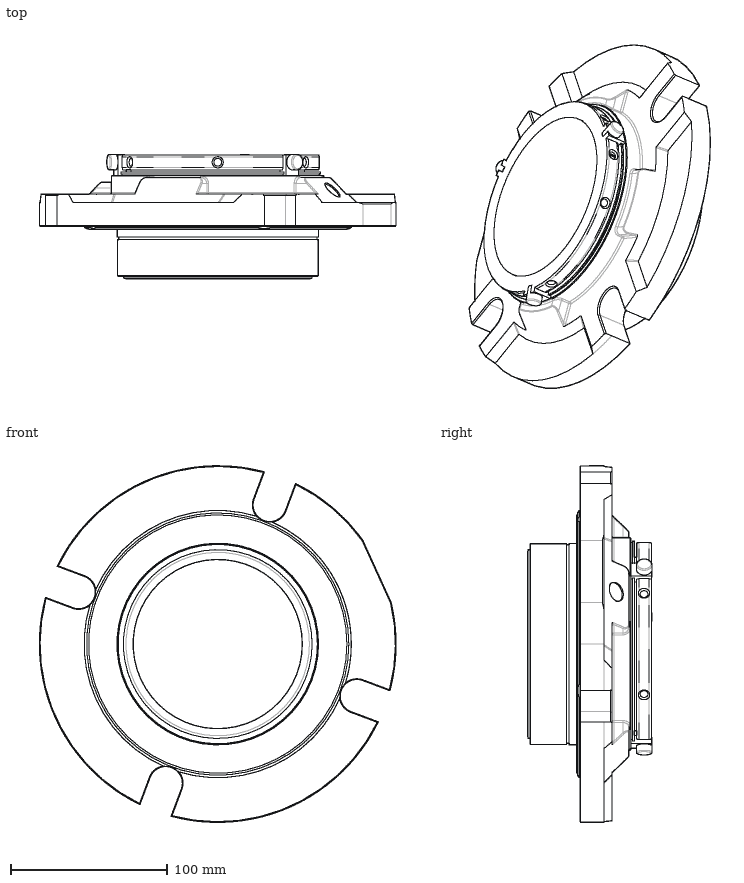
import cadquery as cq
import math


TOLERANCE = 0.01

FLANGE_RADIUS = 114.01
FLANGE_THICKNESS = 15.3
FRONT_CHAMFER = 0.5
REAR_CHAMFER = 0.9
SLOT_COUNT = 4
SLOT_PITCH = 360 / SLOT_COUNT
SLOT_ANGLE = 69.5
SLOT_WIDTH = 21.2
SLOT_BOTTOM_RADIUS = 84.3
FLAT_ANGLE = SLOT_ANGLE - SLOT_PITCH / 2
FLAT_DISTANCE = 111.9

SEAT_Y = 20.6
SEAT_HALF_WIDTH = 25.0
SEAT_RISE = SEAT_Y - FLANGE_THICKNESS
SEAT_INNER = 60.0

PILOT_BASE_RADIUS = 85.4
PILOT_BEVEL_RADIUS = 83.8
PILOT_FACE_RADIUS = 165.1 / 2
PILOT_RIM_Y = -0.6
PILOT_BEVEL_Y = -1.6
PILOT_FACE_Y = -2.1

FRONT_COLLAR_RADIUS = 128.91 / 2
SPIGOT_RADIUS = 128.57 / 2
GROOVE_RADIUS = 63.5
GROOVE_REAR_Y = -6.9
GROOVE_FRONT_Y = -8.4
SPIGOT_FRONT_Y = -32.0
SPIGOT_CHAMFER = 0.6
NOSE_RADIUS = 120.62 / 2
NOSE_FACE_RADIUS = 58.6
NOSE_CHAMFER_DEPTH = 0.5
FRONT_Y = -33.5
BORE_RADIUS = 107.95 / 2

HUB_RADIUS = 68.0
HUB_TOP_Y = 32.6
HUB_TOP_CHAMFER = 0.5
CORNER_FILLET = 1.1
RETAINER_NECK_RADIUS = 65.0
RETAINER_RADIUS = 131.65 / 2
RETAINER_BOTTOM_Y = 33.6
RETAINER_TOP_Y = 34.8
SLEEVE_RADIUS = 111.1 / 2

CONE_SUM = 104.0
PAD_TOP_Y = 31.3
LOW_PAD_TOP_Y = 28.3
LOW_PAD_INDEX = 2
PAD_HALF_WIDTH = 22.0
PAD_FILLET = 3.8
PAD_RIM_FILLET = 0.8
PORT_DIAMETER = 12.64
PORT_DEPTH = 1.0
PORT_Y = 23.3

RING_RADIUS = 130.12 / 2
RING_BOTTOM_Y = 36.2
RING_TOP_Y = 45.8
RING_BEVEL_AXIAL = 1.5
RING_BEVEL_RADIAL = 0.5
SCREW_Y = (RING_BOTTOM_Y + RING_TOP_Y) / 2
SCREW_ANGLES = (30, 90, 150, 210, 270, 330)
SLOTTED_SCREW_ANGLE = 180
SCREW_DIAMETER = 5.0
COUNTERSINK_DIAMETER = 7.3
SCREW_SLOT_WIDTH = 1.2
SCREW_SLOT_DEPTH = 1.0

CLIP_ANGLES = (45, 165, 285)
CLIP_WIDTH = 11.5
CLIP_INNER = 62.0
CLIP_OUTER = 67.4
BOLT_HEAD_DIAMETER = 10.0
BOLT_HEAD_OUTER = 72.3
BOLT_HEAD_FILLET = 0.7
OVERALL_DEPTH = 79.63
BOLT_Y = FRONT_Y + OVERALL_DEPTH - BOLT_HEAD_DIAMETER / 2


def at_angle(shape, angle):
    """Turn a shape built along +X to the given angle about the Y axis."""
    return shape.rotate((0, 0, 0), (0, 1, 0), -angle)


def turned(points):
    """Solid of revolution about Y from a closed (radius, y) outline."""
    return cq.Workplane("XY").polyline(points).close().revolve(360, (0, 0, 0), (0, 1, 0))


def disk(radius, y_low, y_high):
    return turned([(0, y_low), (radius, y_low), (radius, y_high), (0, y_high)])


def block(x_low, x_high, y_low, y_high, width):
    """Box along +X, centred on Z = 0."""
    return cq.Workplane("XY").box(
        x_high - x_low, y_high - y_low, width, centered=(False, False, True)
    ).translate((x_low, y_low, 0))


def radial_cylinder(diameter, x_low, x_high, y):
    return cq.Workplane("YZ", origin=(x_low, y, 0)).circle(diameter / 2).extrude(x_high - x_low)


def cone(y_top):
    return turned([
        (0, FLANGE_THICKNESS),
        (CONE_SUM - FLANGE_THICKNESS, FLANGE_THICKNESS),
        (CONE_SUM - y_top, y_top),
        (0, y_top),
    ])


def make_seat():
    """Bolt seat with sloped flanks, trimmed to the flange radius."""
    foot = SEAT_HALF_WIDTH + SEAT_RISE
    bar = (
        cq.Workplane("YZ", origin=(SEAT_INNER, 0, 0))
        .polyline([
            (FLANGE_THICKNESS, -foot),
            (SEAT_Y, -SEAT_HALF_WIDTH),
            (SEAT_Y, SEAT_HALF_WIDTH),
            (FLANGE_THICKNESS, foot),
        ])
        .close()
        .extrude(FLANGE_RADIUS)
    )
    return bar.intersect(disk(FLANGE_RADIUS, FLANGE_THICKNESS, SEAT_Y))


def make_slot():
    """Open slot with a round bottom, chamfered along its front and rear edges."""
    half = SLOT_WIDTH / 2
    center = SLOT_BOTTOM_RADIUS + half
    length = FLANGE_RADIUS

    def slot_prism(y_start, depth, taper=0):
        """Slot outline drawn at y_start and extruded by depth toward -Y (+Y if negative)."""
        outline = (
            cq.Workplane("XZ", origin=(0, y_start, 0))
            .moveTo(center + length, -half)
            .lineTo(center, -half)
            .threePointArc((center - half, 0), (center, half))
            .lineTo(center + length, half)
            .close()
        )
        return outline.extrude(depth, taper=taper)

    slot = slot_prism(SEAT_Y, SEAT_Y - PILOT_FACE_Y)
    front_edge = slot_prism(FRONT_CHAMFER, FRONT_CHAMFER, -45)
    rear_edge = slot_prism(SEAT_Y - REAR_CHAMFER, -REAR_CHAMFER, -45)
    return slot.union(front_edge).union(rear_edge)


def make_flat():
    """Material beyond the flat on the flange rim, with both edges of the flat chamfered."""
    outside = FLANGE_RADIUS + FRONT_CHAMFER
    profile = [
        (FLAT_DISTANCE - FRONT_CHAMFER, 0),
        (FLAT_DISTANCE, FRONT_CHAMFER),
        (FLAT_DISTANCE, FLANGE_THICKNESS - REAR_CHAMFER),
        (FLAT_DISTANCE - REAR_CHAMFER, FLANGE_THICKNESS),
        (outside, FLANGE_THICKNESS),
        (outside, 0),
    ]
    prism = cq.Workplane("XY").polyline(profile).close().extrude(FLANGE_RADIUS / 2, both=True)
    return at_angle(prism, FLAT_ANGLE)


def make_flange():
    flange = turned([
        (0, 0),
        (FLANGE_RADIUS - FRONT_CHAMFER, 0),
        (FLANGE_RADIUS, FRONT_CHAMFER),
        (FLANGE_RADIUS, FLANGE_THICKNESS),
        (0, FLANGE_THICKNESS),
    ])
    pilot = turned([
        (0, PILOT_FACE_Y),
        (PILOT_FACE_RADIUS, PILOT_FACE_Y),
        (PILOT_FACE_RADIUS, PILOT_BEVEL_Y),
        (PILOT_BEVEL_RADIUS, PILOT_BEVEL_Y),
        (PILOT_BASE_RADIUS, PILOT_RIM_Y),
        (PILOT_BASE_RADIUS, 0),
        (0, 0),
    ])
    flange = flange.union(pilot).union(cone(SEAT_Y))
    seat = make_seat()
    for index in range(SLOT_COUNT):
        flange = flange.union(at_angle(seat, SLOT_ANGLE + index * SLOT_PITCH))
    return flange.cut(make_flat())


def make_pad(top_y):
    """Pad with parallel sides and rounded edges, ending on the cone."""
    bar = block(0, CONE_SUM, FLANGE_THICKNESS, top_y, 2 * PAD_HALF_WIDTH)
    bar = bar.edges("|X and >Y").fillet(PAD_FILLET)
    pad = bar.intersect(cone(top_y)).val()

    def on_rim(edge):
        """True for the edges that run down the cone along the sides of the pad."""
        middle = edge.positionAt(0.5)
        on_cone = abs(math.hypot(middle.x, middle.z) + middle.y - CONE_SUM) < TOLERANCE
        return on_cone and FLANGE_THICKNESS + TOLERANCE < middle.y < top_y - TOLERANCE

    rim = [edge for edge in pad.Edges() if on_rim(edge)]
    return cq.Workplane(pad.fillet(PAD_RIM_FILLET, rim))


def make_port():
    """Shallow round recess square to the cone surface."""
    across = math.cos(math.radians(45))
    center = cq.Vector(CONE_SUM - PORT_Y, PORT_Y, 0)
    inward = cq.Vector(-across, -across, 0)
    start = center - inward * PORT_DEPTH
    return cq.Workplane(cq.Solid.makeCylinder(PORT_DIAMETER / 2, 2 * PORT_DEPTH, start, inward))


def make_hub():
    hub = (
        cq.Workplane("XY")
        .moveTo(0, FLANGE_THICKNESS)
        .lineTo(HUB_RADIUS, FLANGE_THICKNESS)
        .lineTo(HUB_RADIUS, HUB_TOP_Y - HUB_TOP_CHAMFER)
        .lineTo(HUB_RADIUS - HUB_TOP_CHAMFER, HUB_TOP_Y)
        .lineTo(RETAINER_NECK_RADIUS, HUB_TOP_Y)
        .lineTo(RETAINER_NECK_RADIUS, RETAINER_BOTTOM_Y)
        .lineTo(RETAINER_RADIUS, RETAINER_BOTTOM_Y)
        .lineTo(RETAINER_RADIUS, RETAINER_TOP_Y)
        .lineTo(SLEEVE_RADIUS, RETAINER_TOP_Y)
        .lineTo(SLEEVE_RADIUS, RING_TOP_Y)
        .lineTo(0, RING_TOP_Y)
        .close()
        .revolve(360, (0, 0, 0), (0, 1, 0))
    )
    for index in range(SLOT_COUNT):
        top_y = LOW_PAD_TOP_Y if index == LOW_PAD_INDEX else PAD_TOP_Y
        hub = hub.union(at_angle(make_pad(top_y), FLAT_ANGLE + index * SLOT_PITCH))
    return hub


def blend_inner_corners(body):
    """Fillet where pads meet the hub and floor, and where seats meet the lower cone."""
    solid = body.val()

    def on_hub(edge):
        samples = edge.positions((0, 0.5, 1))
        return all(
            abs(math.hypot(p.x, p.z) - HUB_RADIUS) < TOLERANCE
            and SEAT_Y - TOLERANCE < p.y < PAD_TOP_Y + TOLERANCE
            for p in samples
        )

    def pad_foot(edge):
        middle = edge.positionAt(0.5)
        radius = math.hypot(middle.x, middle.z)
        return (
            edge.geomType() == "LINE"
            and abs(middle.y - SEAT_Y) < TOLERANCE
            and HUB_RADIUS < radius < CONE_SUM - SEAT_Y
        )

    def seat_foot(edge):
        middle = edge.positionAt(0.5)
        radius = math.hypot(middle.x, middle.z)
        return (
            FLANGE_THICKNESS + TOLERANCE < middle.y < SEAT_Y - TOLERANCE
            and abs(radius + middle.y - CONE_SUM) < TOLERANCE
        )

    def is_corner(edge):
        return on_hub(edge) or pad_foot(edge) or seat_foot(edge)

    corners = [edge for edge in solid.Edges() if is_corner(edge)]
    return cq.Workplane(solid.fillet(CORNER_FILLET, corners))


def make_spigot():
    return turned([
        (0, FRONT_Y),
        (NOSE_FACE_RADIUS, FRONT_Y),
        (NOSE_RADIUS, FRONT_Y + NOSE_CHAMFER_DEPTH),
        (NOSE_RADIUS, SPIGOT_FRONT_Y),
        (SPIGOT_RADIUS - SPIGOT_CHAMFER, SPIGOT_FRONT_Y),
        (SPIGOT_RADIUS, SPIGOT_FRONT_Y + SPIGOT_CHAMFER),
        (SPIGOT_RADIUS, GROOVE_FRONT_Y),
        (GROOVE_RADIUS, GROOVE_FRONT_Y),
        (GROOVE_RADIUS, GROOVE_REAR_Y),
        (FRONT_COLLAR_RADIUS, GROOVE_REAR_Y),
        (FRONT_COLLAR_RADIUS, PILOT_FACE_Y),
        (0, PILOT_FACE_Y),
    ])


def make_screw_recess():
    """Countersink whose flat floor is the face of a set screw."""
    mouth_radius = COUNTERSINK_DIAMETER / 2
    floor_radius = SCREW_DIAMETER / 2
    depth = mouth_radius - floor_radius
    floor = cq.Vector(RING_RADIUS - depth, SCREW_Y, 0)
    outward = cq.Vector(1, 0, 0)
    return cq.Workplane(
        cq.Solid.makeCone(floor_radius, mouth_radius + depth, 2 * depth, floor, outward)
    )


def make_screw_slot():
    """Screwdriver slot in the face of one set screw."""
    half = SCREW_DIAMETER / 2
    face = RING_RADIUS - (COUNTERSINK_DIAMETER - SCREW_DIAMETER) / 2
    return block(face - SCREW_SLOT_DEPTH, face, SCREW_Y - half, SCREW_Y + half, SCREW_SLOT_WIDTH)


def make_setting_ring():
    ring = turned([
        (BORE_RADIUS, RING_BOTTOM_Y),
        (RING_RADIUS - RING_BEVEL_RADIAL, RING_BOTTOM_Y),
        (RING_RADIUS, RING_BOTTOM_Y + RING_BEVEL_AXIAL),
        (RING_RADIUS, RING_TOP_Y - RING_BEVEL_AXIAL),
        (RING_RADIUS - RING_BEVEL_RADIAL, RING_TOP_Y),
        (BORE_RADIUS, RING_TOP_Y),
    ])
    recess = make_screw_recess()
    for angle in SCREW_ANGLES + (SLOTTED_SCREW_ANGLE,):
        ring = ring.cut(at_angle(recess, angle))
    return ring.cut(at_angle(make_screw_slot(), SLOTTED_SCREW_ANGLE))


def make_clip():
    clip = block(CLIP_INNER, CLIP_OUTER, HUB_TOP_Y, RING_TOP_Y, CLIP_WIDTH)
    head = radial_cylinder(BOLT_HEAD_DIAMETER, CLIP_INNER, BOLT_HEAD_OUTER, BOLT_Y)
    head = head.faces(">X").edges().fillet(BOLT_HEAD_FILLET)
    return clip.union(head)


def make_part():
    part = blend_inner_corners(make_flange().union(make_hub()))
    part = part.cut(at_angle(make_port(), FLAT_ANGLE))
    slot = make_slot()
    for index in range(SLOT_COUNT):
        part = part.cut(at_angle(slot, SLOT_ANGLE + index * SLOT_PITCH))
    part = part.union(make_spigot()).union(make_setting_ring())
    clip = make_clip()
    for angle in CLIP_ANGLES:
        part = part.union(at_angle(clip, angle))
    return part.cut(disk(BORE_RADIUS, FRONT_Y, RING_TOP_Y))


result = make_part()